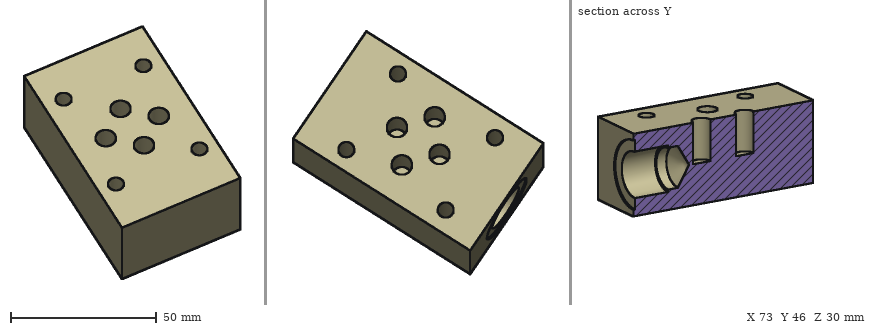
import cadquery as cq
import math

length = 73.0
width = 46.0
height = 30.0

mounting_diameter = 5.5
mounting_pairs = [(-21.45, 15.5), (19.0, 16.2)]

valve_port_diameter = 7.0
valve_port_x = 8.75
valve_port_y = 10.3
valve_port_depth = height / 2

spotface_diameter = 25.0
spotface_depth = 0.5
thread_diameter = 16.65
thread_depth = 14.0
drill_diameter = 15.0
drill_depth = 18.0
drill_point_angle = 118.0


def make_mounting_holes():
    points = [(x, side * y) for x, y in mounting_pairs for side in (-1, 1)]
    holes = cq.Workplane("XY").workplane(offset=-height / 2)
    return holes.pushPoints(points).circle(mounting_diameter / 2).extrude(height)


def make_valve_ports():
    points = [(-valve_port_x, 0), (valve_port_x, 0), (0, -valve_port_y), (0, valve_port_y)]
    ports = cq.Workplane("XY").workplane(offset=height / 2)
    return ports.pushPoints(points).circle(valve_port_diameter / 2).extrude(-valve_port_depth)


def make_tank_port():
    """Stepped bore with a conical drill point, revolved about the X axis."""
    face_x = -length / 2
    spotface_radius = spotface_diameter / 2
    thread_radius = thread_diameter / 2
    drill_radius = drill_diameter / 2
    point_length = drill_radius / math.tan(math.radians(drill_point_angle / 2))
    profile = [
        (face_x, 0),
        (face_x, spotface_radius),
        (face_x + spotface_depth, spotface_radius),
        (face_x + spotface_depth, thread_radius),
        (face_x + thread_depth, thread_radius),
        (face_x + thread_depth, drill_radius),
        (face_x + drill_depth, drill_radius),
        (face_x + drill_depth + point_length, 0),
    ]
    return cq.Workplane("XY").polyline(profile).close().revolve(360, (0, 0, 0), (1, 0, 0))


block = cq.Workplane("XY").box(length, width, height)
result = block.cut(make_mounting_holes()).cut(make_valve_ports()).cut(make_tank_port())